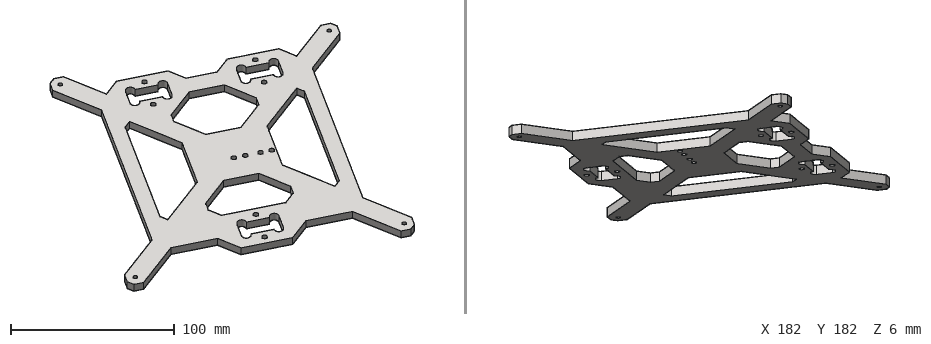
import cadquery as cq

size = 182.0
half = size / 2
thickness = 6.0

arm_offset = 9.5
tip_chamfer = 3.3
tip_hole_inset = 5.8
tip_hole_diameter = 2.5

rail_outer_y = 66.8
left_edge_x = 69.7
right_edge_x = 67.0
pad_edge_x = 78.6
pad_half_length = 16.4

mount_x = 63.5
left_mount_y = 35.1
mount_hole_spacing = 19.8
mount_hole_diameter = 3.3
mount_slot_width = 10.4
mount_slot_length = 26.5
mount_head_width = 16.0
mount_head_height = 6.0

rail_inner_y = 56.8
window_inner_y = 27.0
long_window_diagonal = 9.6
long_window_chamfer = 3.8
side_window_inner_x = 20.4
side_window_corner_y = 11.1
left_window_outer_x = 57.9
right_window_outer_x = 48.6

row_x = 3.5
row_hole_ys = (0.0, 7.3, 17.0, 24.0)
row_hole_diameter = 3.3


def close_by_reflection(upper_points):
    """Close an outline by reflecting its upper half in the X axis."""
    return upper_points + [(x, -y) for x, y in reversed(upper_points)]


def prism(points):
    return cq.Workplane("XY").polyline(points).close().extrude(thickness)


def drill(points, diameter):
    return cq.Workplane("XY").pushPoints(points).circle(diameter / 2).extrude(thickness)


def body():
    tip_flat_end = half - arm_offset
    rail_end_x = rail_outer_y - arm_offset
    arm_root_y = left_edge_x - arm_offset
    pad_top_y = left_mount_y + pad_half_length
    pad_bottom_y = left_mount_y - pad_half_length
    left_neck_half = pad_bottom_y - (pad_edge_x - left_edge_x)
    right_shoulder_y = pad_half_length + (pad_edge_x - right_edge_x)
    upper = [
        (-left_edge_x, left_neck_half),
        (-pad_edge_x, pad_bottom_y),
        (-pad_edge_x, pad_top_y),
        (-left_edge_x, arm_root_y),
        (-half, tip_flat_end),
        (-half, half - tip_chamfer),
        (-half + tip_chamfer, half),
        (-tip_flat_end, half),
        (-rail_end_x, rail_outer_y),
        (rail_end_x, rail_outer_y),
        (tip_flat_end, half),
        (half - tip_chamfer, half),
        (half, half - tip_chamfer),
        (half, tip_flat_end),
        (right_edge_x, right_edge_x - arm_offset),
        (right_edge_x, right_shoulder_y),
        (pad_edge_x, pad_half_length),
    ]
    return prism(close_by_reflection(upper))


def long_window():
    flat_end_x = rail_inner_y - long_window_diagonal - 2 * long_window_chamfer
    corner_x = flat_end_x + long_window_chamfer
    inner_x = window_inner_y - long_window_diagonal
    return prism([
        (-flat_end_x, rail_inner_y),
        (flat_end_x, rail_inner_y),
        (corner_x, rail_inner_y - long_window_chamfer),
        (inner_x, window_inner_y),
        (-inner_x, window_inner_y),
        (-corner_x, rail_inner_y - long_window_chamfer),
    ])


def side_window(side, outer_x):
    slant = window_inner_y - side_window_corner_y
    flat_near_x = side_window_inner_x + slant
    flat_far_x = left_window_outer_x - slant
    outer_corner_y = window_inner_y - (outer_x - flat_far_x)
    return prism(close_by_reflection([
        (side * side_window_inner_x, side_window_corner_y),
        (side * flat_near_x, window_inner_y),
        (side * flat_far_x, window_inner_y),
        (side * outer_x, outer_corner_y),
    ]))


def mount_cutout(x, y):
    head_y = (mount_slot_length - mount_head_height) / 2
    heads = (
        cq.Workplane("XY")
        .pushPoints([(x, y - head_y), (x, y + head_y)])
        .slot2D(mount_head_width, mount_head_height)
        .extrude(thickness)
    )
    slot = cq.Workplane("XY").center(x, y).rect(mount_slot_width, mount_slot_length).extrude(thickness)
    hole_dx = mount_hole_spacing / 2
    holes = drill([(x - hole_dx, y), (x + hole_dx, y)], mount_hole_diameter)
    return slot.union(heads).union(holes)


result = body()

upper_window = long_window()
result = result.cut(upper_window).cut(upper_window.mirror("XZ"))
result = result.cut(side_window(-1, left_window_outer_x))
result = result.cut(side_window(1, right_window_outer_x))

for mount in ((-mount_x, left_mount_y), (-mount_x, -left_mount_y), (mount_x, 0)):
    result = result.cut(mount_cutout(*mount))

tip_hole = half - tip_hole_inset
tip_holes = [(sx * tip_hole, sy * tip_hole) for sx in (-1, 1) for sy in (-1, 1)]
result = result.cut(drill(tip_holes, tip_hole_diameter))
result = result.cut(drill([(row_x, y) for y in row_hole_ys], row_hole_diameter))